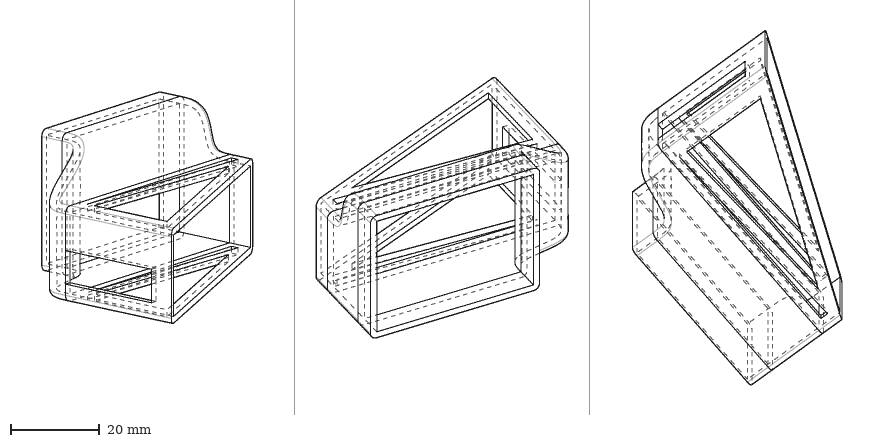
import cadquery as cq

wall = 1.6
duct_back = 59.7
collar_front = 16.55
collar_height = 33.2
tail_height = 22.2
collar_end = 6.0
tail_start = 20.55
tail_front_end = 51.35
tail_back_end = 26.0
bend_near_share = 0.4
bend_far_share = 0.63

window_end = 45.55
window_bottom = 4.25
window_top = 12.05
vent_front = 5.1
sliver_left = 22.75
sliver_right = 24.65
sliver_back = 56.1
vent_left = 24.8
vent_right = 45.9
vent_tip = (26.8, 50.05)


def rounded_bar(x_start, x_end, y_front, height):
    """Bar along X with rounded long edges, reaching from y_front to the back face."""
    bar = cq.Workplane("XY").box(x_end - x_start, duct_back - y_front, height, centered=False)
    return bar.edges("|X").fillet(wall).translate((x_start, y_front, 0))


def bore(x_start, x_end, y_front, height):
    """Sharp-cornered passage inside a rounded_bar."""
    passage = cq.Workplane("XY").box(
        x_end - x_start, duct_back - y_front - 2 * wall, height - 2 * wall, centered=False
    )
    return passage.translate((x_start, y_front + wall, wall))


def s_bend_area(plane, base, start_level, end_level):
    """Area between a straight base line and an S-bend that leaves both joints along X."""
    near = bend_near_share * (tail_start - collar_end)
    far = bend_far_share * (tail_start - collar_end)
    return (
        cq.Workplane(plane)
        .moveTo(collar_end, base)
        .lineTo(collar_end, start_level)
        .bezier(
            [
                (collar_end, start_level),
                (collar_end + near, start_level),
                (collar_end + far, start_level),
                (tail_start - far, end_level),
                (tail_start - near, end_level),
                (tail_start, end_level),
            ]
        )
        .lineTo(tail_start, base)
        .close()
    )


def make_collar():
    outside = rounded_bar(0, collar_end, collar_front, collar_height)
    return outside.cut(bore(0, collar_end, collar_front, collar_height))


def make_transition():
    """Passage whose roof and front both follow the S-bend, thickened outwards by the wall."""
    side_shape = s_bend_area("XZ", wall, collar_height - wall, tail_height - wall).extrude(-duct_back)
    plan_shape = s_bend_area("XY", duct_back - wall, collar_front + wall, wall).extrude(collar_height)
    passage = side_shape.intersect(plan_shape)
    return passage.faces("<X or >X").shell(wall, kind="arc")


def make_tail():
    tail = rounded_bar(tail_start, tail_front_end, 0, tail_height)
    tail = tail.cut(bore(tail_start, tail_front_end, 0, tail_height))

    plan = [(tail_start, 0), (tail_front_end, 0), (tail_back_end, duct_back), (tail_start, duct_back)]
    tail = tail.intersect(cq.Workplane("XY").polyline(plan).close().extrude(tail_height))

    window = cq.Workplane("XY").box(
        window_end - tail_start, wall, window_top - window_bottom, centered=False
    )
    tail = tail.cut(window.translate((tail_start, 0, window_bottom)))

    sliver = [(sliver_left, vent_front), (sliver_right, sliver_back), (sliver_left, sliver_back)]
    main_vent = [(vent_left, vent_front), (vent_right, vent_front), vent_tip]
    for triangle in (sliver, main_vent):
        tail = tail.cut(cq.Workplane("XY").polyline(triangle).close().extrude(tail_height))
    return tail


collar = make_collar()
transition = make_transition()
tail = make_tail()

result = cq.Compound.makeCompound([collar.solids().val(), transition.solids().val(), tail.solids().val()])